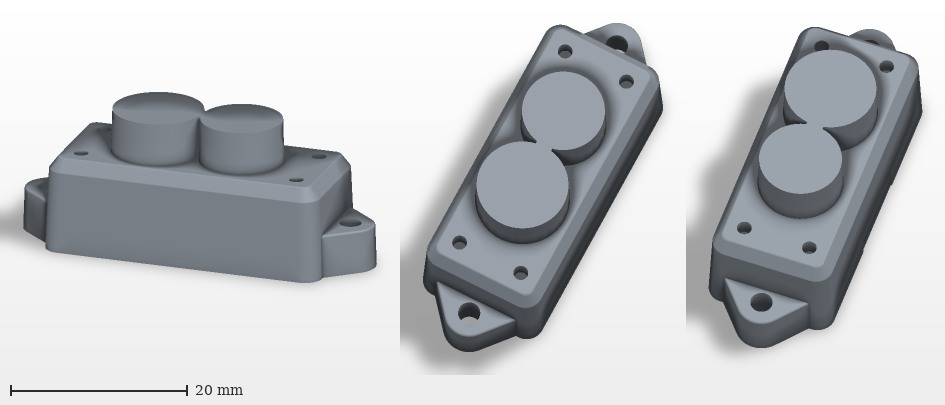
import cadquery as cq
import math

TOTAL_LENGTH = 42.0
TOTAL_HEIGHT = 16.0
DRAFT_ANGLE = 2.0

BODY_LENGTH = 33.0
BODY_WIDTH = 15.0
BODY_HEIGHT = 11.0
CORNER_RADIUS = 2.0
BEVEL_HEIGHT = 1.45
BEVEL_INSET = 1.1
BEVEL_TOP_ROUND = 0.3
BEVEL_BOTTOM_ROUND = 0.2

EAR_HEIGHT = 5.0
EAR_RADIUS = 3.0
EAR_FLANK_ANGLE = 40.0
EAR_TOP_ROUND = 0.25
EAR_HOLE_DIAMETER = 2.5
EAR_ROOT_OVERLAP = 1.25
EAR_X = TOTAL_LENGTH / 2 - EAR_RADIUS

BOSS_X = 5.0
LARGE_BOSS_RADIUS = 5.38
SMALL_BOSS_RADIUS = 4.87
BRIDGE_WIDTH = 1.95
BRIDGE_LENGTH = 0.85
BOSS_HEIGHT = TOTAL_HEIGHT - BODY_HEIGHT

LID_HOLE_SPACING_X = 25.8
LID_HOLE_SPACING_Y = 7.8
LID_HOLE_RADIUS = 0.85
LID_HOLE_DEPTH = 2.0

FLAT_LENGTH = 9.4
FLAT_DEPTH = 0.13


def draft_shift(height):
    """Inward shift of a drafted wall after rising by height."""
    return height * math.tan(math.radians(DRAFT_ANGLE))


def make_body():
    """Drafted box with rounded corners and a softened bevel around the lid."""
    bevel_inset = BEVEL_INSET - draft_shift(BEVEL_HEIGHT)
    body = (
        cq.Workplane("XY")
        .rect(BODY_LENGTH, BODY_WIDTH)
        .extrude(BODY_HEIGHT, taper=DRAFT_ANGLE)
        .edges("not(#Z)")
        .fillet(CORNER_RADIUS)
        .faces(">Z")
        .edges()
        .chamfer(BEVEL_HEIGHT, bevel_inset)
    )
    body = body.faces(">Z").edges().fillet(BEVEL_TOP_ROUND)
    bevel_foot = BODY_HEIGHT - BEVEL_HEIGHT
    foot_zone = cq.selectors.BoxSelector(
        (-BODY_LENGTH, -BODY_WIDTH, bevel_foot - BEVEL_HEIGHT / 2),
        (BODY_LENGTH, BODY_WIDTH, bevel_foot + BEVEL_HEIGHT / 2),
    )
    return body.edges(foot_zone).fillet(BEVEL_BOTTOM_ROUND)


def make_ear():
    """Mounting ear at the +X end: rounded tip with straight flanks running into the body."""
    angle = math.radians(EAR_FLANK_ANGLE)
    tangent_x = EAR_X + EAR_RADIUS * math.sin(angle)
    tangent_y = EAR_RADIUS * math.cos(angle)
    root_x = BODY_LENGTH / 2 - EAR_ROOT_OVERLAP
    root_y = tangent_y + (tangent_x - root_x) * math.tan(angle)
    return (
        cq.Workplane("XY")
        .moveTo(root_x, -root_y)
        .lineTo(tangent_x, -tangent_y)
        .threePointArc((EAR_X + EAR_RADIUS, 0), (tangent_x, tangent_y))
        .lineTo(root_x, root_y)
        .close()
        .extrude(EAR_HEIGHT, taper=DRAFT_ANGLE)
        .faces(">Z")
        .edges("not(|Y)")
        .fillet(EAR_TOP_ROUND)
    )


def make_boss(center_x, base_radius):
    """Drafted round boss standing on the lid."""
    return (
        cq.Workplane("XY", origin=(center_x, 0, BODY_HEIGHT))
        .circle(base_radius)
        .extrude(BOSS_HEIGHT, taper=DRAFT_ANGLE)
    )


def make_bridge():
    """Web joining the two bosses where they almost touch."""
    gap_x = LARGE_BOSS_RADIUS - BOSS_X
    return cq.Workplane("XY", origin=(gap_x, 0, BODY_HEIGHT)).box(
        BRIDGE_LENGTH, BRIDGE_WIDTH, BOSS_HEIGHT, centered=(True, True, False)
    )


def cut_lid_holes(part):
    """Blind holes near the lid corners, narrowing towards the bottom."""
    holes = (
        cq.Workplane("XY", origin=(0, 0, BODY_HEIGHT))
        .rarray(LID_HOLE_SPACING_X, LID_HOLE_SPACING_Y, 2, 2)
        .circle(LID_HOLE_RADIUS)
        .extrude(-LID_HOLE_DEPTH, taper=DRAFT_ANGLE)
    )
    return part.cut(holes)


def cut_ear_holes(part):
    """Through holes centred on the ear tips."""
    holes = (
        cq.Workplane("XY")
        .pushPoints([(-EAR_X, 0), (EAR_X, 0)])
        .circle(EAR_HOLE_DIAMETER / 2)
        .extrude(EAR_HEIGHT)
    )
    return part.cut(holes)


def cut_wall_flat(part):
    """Upright flat that runs out where the drafted +Y wall leans back past it."""
    cutter = cq.Workplane("XY").box(
        FLAT_LENGTH, 2 * FLAT_DEPTH, BODY_HEIGHT, centered=(True, True, False)
    )
    return part.cut(cutter.translate((0, BODY_WIDTH / 2, 0)))


ear = make_ear()
result = make_body().union(ear).union(ear.mirror("YZ"))
result = result.union(make_boss(-BOSS_X, LARGE_BOSS_RADIUS))
result = result.union(make_boss(BOSS_X, SMALL_BOSS_RADIUS))
result = result.union(make_bridge())
result = cut_lid_holes(result)
result = cut_ear_holes(result)
result = cut_wall_flat(result)